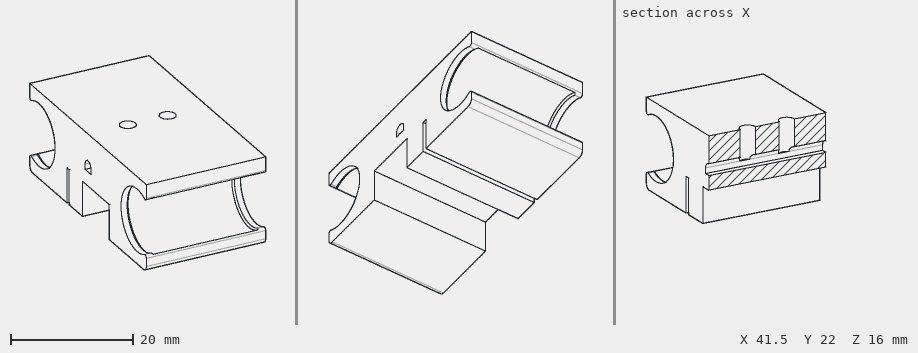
import cadquery as cq

length = 41.5
width = 22.0
height = 15.98
bottom_edge_radius = 1.0

bore_radius = 5.73
bore_inset = 3.28
lip_radius = 0.45
relief_radius = 6.0
relief_margin = 1.1
relief_taper = 0.35

slot_depth = 6.45
slots_half_span = 7.5
thin_slot_width = 0.85
wide_slot_width = 9.45

passage_width = 2.05
passage_height = 2.0
passage_floor = 9.05
hole_diameter = 2.8
hole_spacing = 7.35

bore_x = length / 2 - bore_inset
bore_z = height / 2
passage_spring = passage_floor + passage_height - passage_width / 2


def cradle_bore(side):
    """Full-width cylinder removed at one end; side is -1 or 1."""
    return (
        cq.Workplane("XZ")
        .center(side * bore_x, bore_z)
        .circle(bore_radius)
        .extrude(width / 2, both=True)
    )


def cradle_relief(side):
    """Shallow widening of the bore with tapered ends, revolved about the bore axis."""
    outer_y = width / 2 - relief_margin
    inner_y = outer_y - relief_taper
    return (
        cq.Workplane("XY")
        .center(side * bore_x, 0)
        .moveTo(0, -outer_y)
        .lineTo(bore_radius, -outer_y)
        .lineTo(relief_radius, -inner_y)
        .lineTo(relief_radius, inner_y)
        .lineTo(bore_radius, outer_y)
        .lineTo(0, outer_y)
        .close()
        .revolve(360, (0, 0), (0, 1))
        .translate((0, 0, bore_z))
    )


def underside_slot(start_x, slot_width):
    """Rectangular slot running the full width of the block."""
    return cq.Workplane("XY").box(slot_width, width, slot_depth, centered=(False, True, False)).translate(
        (start_x, 0, 0)
    )


def arched_passage():
    """Flat-floored passage with a semicircular roof."""
    half = passage_width / 2
    return (
        cq.Workplane("XZ")
        .moveTo(-half, passage_floor)
        .lineTo(half, passage_floor)
        .lineTo(half, passage_spring)
        .threePointArc((0, passage_floor + passage_height), (-half, passage_spring))
        .close()
        .extrude(width / 2, both=True)
    )


def top_holes():
    """Blind holes ending where the passage roof meets its walls."""
    return (
        cq.Workplane("XY", origin=(0, 0, passage_spring))
        .pushPoints([(0, -hole_spacing / 2), (0, hole_spacing / 2)])
        .circle(hole_diameter / 2)
        .extrude(height - passage_spring)
    )


body = cq.Workplane("XY").box(length, width, height, centered=(True, True, False))
body = body.faces("<Z").edges("|Y").fillet(bottom_edge_radius)
for side in (-1, 1):
    body = body.cut(cradle_bore(side))

lip_band = cq.selectors.BoxSelector(
    (-length, -width, bore_z - bore_radius),
    (length, width, bore_z + bore_radius),
)
body = body.faces("<X or >X").edges("|Y").edges(lip_band).fillet(lip_radius)

for side in (-1, 1):
    body = body.cut(cradle_relief(side))

body = body.cut(underside_slot(-slots_half_span, thin_slot_width))
body = body.cut(underside_slot(slots_half_span - wide_slot_width, wide_slot_width))
body = body.cut(arched_passage())
result = body.cut(top_holes())